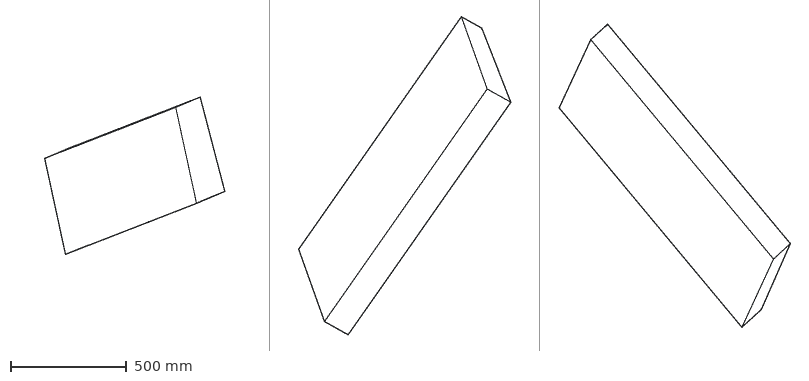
import cadquery as cq

width = 1096.0
height = 1211.0
upper_thickness = 132.0
lower_thickness = 153.0

end_run = 150.0
end_drop = 420.0

upper_left = (0, end_drop)
upper_right = (width - end_run, height)
lower_right = (width, height - end_drop)
lower_left = (end_run, 0)

plate = (
    cq.Workplane("XZ")
    .polyline([upper_left, upper_right, lower_right, lower_left])
    .close()
    .extrude(-lower_thickness)
)

back_plane = cq.Plane(
    origin=(upper_left[0], upper_thickness, upper_left[1]),
    xDir=(width - end_run, 0, height - end_drop),
    normal=cq.Vector(width - end_run, 0, height - end_drop).cross(
        cq.Vector(end_run, lower_thickness - upper_thickness, -end_drop)
    ),
)
trim_size = 4 * height
trim = cq.Workplane(back_plane).rect(trim_size, trim_size).extrude(height)

result = plate.cut(trim)